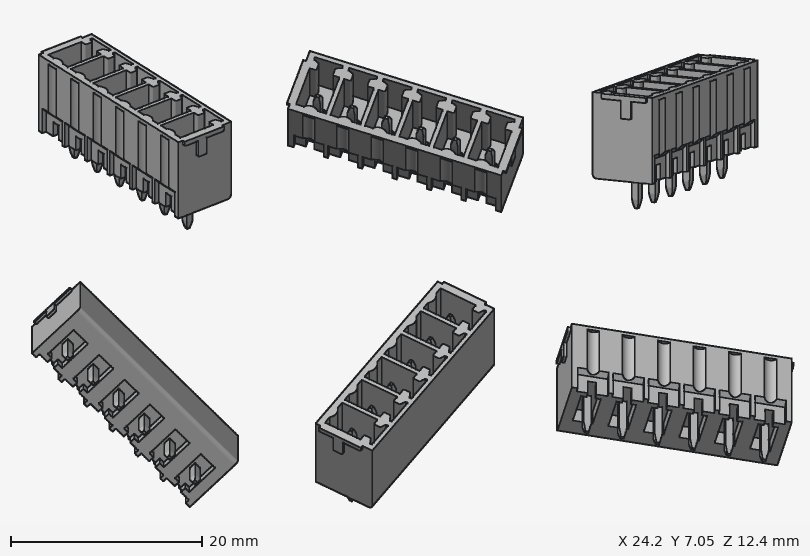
import cadquery as cq
import math


poles = 6
pitch = 3.8
overall_length = 24.25
tab_thickness = 0.32
body_length = overall_length - 2 * tab_thickness
body_depth = 7.05
body_height = 9.2
rear_edge_radius = 0.5
pin_row_y = 3.0

floor_height = 2.42
cavity_width = 3.3
cavity_front_y = 0.78
cavity_shoulder_y = 5.17
neck_width = 1.82
neck_rear_y = 6.0
keyway_width = 3.1
keyway_front_y = 6.28
keyway_rear_y = 6.55
neck_corner_radius = 0.12

groove_width = 1.33
groove_depth = 0.35
groove_top_gap = 0.45
rib_width = 1.55
rib_height = 0.32

recess_width = 3.32
recess_depth = 0.48
recess_front_height = 2.98
recess_back_height = 2.45

pocket_width = 2.13
pocket_front_y = 1.12
pocket_height = 1.7
slot_width = 0.92

collar_base_radius = 1.1
collar_rim_radius = 0.9
collar_cone_height = 0.36
collar_rounding = 0.2

tab_bar_front_y = 0.58
tab_bar_rear_y = 5.85
tab_bar_height = 0.55
tab_stem_front_y = 2.38
tab_stem_rear_y = 3.56
tab_height = 2.47
tab_corner_radius = 0.2

pin_side = 0.8
pin_bottom_z = -3.2
pin_top_z = 7.83
straight_tip_side = 0.36
straight_tip_length = 0.97
bowed_tip_side = 0.3
bowed_tip_length = 1.12
bowed_tip_bulge = 0.05

pole_x = [(i - (poles - 1) / 2) * pitch for i in range(poles)]


def circle_radius(chord, rise):
    """Radius of the circle whose segment has the given chord and rise."""
    return ((chord / 2) ** 2 + rise**2) / (2 * rise)


def block(x_size, y_range, z_range):
    """Box centred on X = 0 between the given Y and Z limits."""
    y_size = y_range[1] - y_range[0]
    z_size = z_range[1] - z_range[0]
    box = cq.Workplane("XY").box(x_size, y_size, z_size, centered=(True, False, False))
    return box.translate((0, y_range[0], z_range[0]))


def make_shell():
    """Plain outer block with its rounded lower rear edge."""
    shell = block(body_length, (0, body_depth), (0, body_height))
    return shell.edges("|X").edges(">Y and <Z").fillet(rear_edge_radius)


def make_end_tab():
    """T-shaped tab standing on the -X end face."""
    bar_z = body_height - tab_bar_height
    stem_z = body_height - tab_height
    bar = block(tab_thickness, (tab_bar_front_y, tab_bar_rear_y), (bar_z, body_height))
    stem = block(tab_thickness, (tab_stem_front_y, tab_stem_rear_y), (stem_z, body_height))
    bar = bar.edges("|X and <Z").fillet(tab_corner_radius)
    stem = stem.edges("|X and <Z").fillet(tab_corner_radius)
    return bar.union(stem).translate((-(body_length + tab_thickness) / 2, 0, 0))


def make_cavity():
    """Plug cavity: wide front room, narrow neck and flared keyway, less the rib and collar."""
    half_room = cavity_width / 2
    half_neck = neck_width / 2
    half_keyway = keyway_width / 2
    right_side = [
        (half_room, cavity_front_y),
        (half_room, cavity_shoulder_y),
        (half_neck, cavity_shoulder_y),
        (half_neck, neck_rear_y),
        (half_keyway, keyway_front_y),
        (half_keyway, keyway_rear_y),
    ]
    left_side = [(-x, y) for x, y in reversed(right_side)]
    cavity_height = body_height - floor_height
    cavity = cq.Workplane("XY").polyline(right_side + left_side).close().extrude(cavity_height)
    neck_edges = cq.selectors.BoxSelector(
        (-half_neck - neck_corner_radius, cavity_shoulder_y - neck_corner_radius, -0.25),
        (half_neck + neck_corner_radius, neck_rear_y + neck_corner_radius, cavity_height + 0.25),
    )
    cavity = cavity.edges("|Z").edges(neck_edges).fillet(neck_corner_radius)
    cavity = cavity.translate((0, 0, floor_height))
    return cavity.cut(make_rib()).cut(make_collar())


def make_rib():
    """Rounded rib on the inner face of the front wall."""
    radius = circle_radius(rib_width, rib_height)
    center_y = cavity_front_y + rib_height - radius
    rib = cq.Workplane("XY").center(0, center_y).circle(radius).extrude(body_height)
    return rib.translate((0, 0, floor_height))


def make_collar():
    """Conical collar with a rounded top rim, standing on the cavity floor."""
    rim_z = floor_height + collar_cone_height
    top_z = rim_z + collar_rounding
    top_radius = collar_rim_radius - collar_rounding
    diagonal = collar_rounding * math.sqrt(0.5)
    return (
        cq.Workplane("XZ")
        .moveTo(0, floor_height)
        .lineTo(collar_base_radius, floor_height)
        .lineTo(collar_rim_radius, rim_z)
        .threePointArc((top_radius + diagonal, rim_z + diagonal), (top_radius, top_z))
        .lineTo(0, top_z)
        .close()
        .revolve(360, (0, 0, 0), (0, 1, 0))
        .translate((0, pin_row_y, 0))
    )


def make_groove():
    """Shallow round groove down the front face, running into the recess."""
    radius = circle_radius(groove_width, groove_depth)
    return (
        cq.Workplane("XY")
        .center(0, groove_depth - radius)
        .circle(radius)
        .extrude(body_height - groove_top_gap)
    )


def make_recess():
    """Recess in the front face, its ceiling sloping down towards the back."""
    side_outline = [
        (0, 0),
        (recess_depth, 0),
        (recess_depth, recess_back_height),
        (0, recess_front_height),
    ]
    return cq.Workplane("YZ").polyline(side_outline).close().extrude(recess_width / 2, both=True)


def make_underside_pocket():
    """Pocket centred on the pin row, with its slot through the front wall."""
    pocket_rear_y = 2 * pin_row_y - pocket_front_y
    pocket = block(pocket_width, (pocket_front_y, pocket_rear_y), (0, pocket_height))
    slot = block(slot_width, (0, pin_row_y), (0, pocket_height))
    return pocket.union(slot)


def make_straight_profile():
    """Pin outline in XZ, with straight tip flanks, extruded past the pin in Y."""
    half = pin_side / 2
    half_tip = straight_tip_side / 2
    lower_z = pin_bottom_z + straight_tip_length
    upper_z = pin_top_z - straight_tip_length
    right_side = [(half_tip, pin_bottom_z), (half, lower_z), (half, upper_z), (half_tip, pin_top_z)]
    left_side = [(-x, z) for x, z in reversed(right_side)]
    return cq.Workplane("XZ").polyline(right_side + left_side).close().extrude(pin_side, both=True)


def make_bowed_profile():
    """Pin outline in YZ, with tip flanks bowed outwards, extruded past the pin in X."""
    half = pin_side / 2
    half_tip = bowed_tip_side / 2
    lower_z = pin_bottom_z + bowed_tip_length
    upper_z = pin_top_z - bowed_tip_length
    bow_y = (half + half_tip) / 2 + bowed_tip_bulge
    lower_bow_z = (pin_bottom_z + lower_z) / 2
    upper_bow_z = (pin_top_z + upper_z) / 2
    return (
        cq.Workplane("YZ")
        .moveTo(half_tip, pin_bottom_z)
        .threePointArc((bow_y, lower_bow_z), (half, lower_z))
        .lineTo(half, upper_z)
        .threePointArc((bow_y, upper_bow_z), (half_tip, pin_top_z))
        .lineTo(-half_tip, pin_top_z)
        .threePointArc((-bow_y, upper_bow_z), (-half, upper_z))
        .lineTo(-half, lower_z)
        .threePointArc((-bow_y, lower_bow_z), (-half_tip, pin_bottom_z))
        .close()
        .extrude(pin_side, both=True)
    )


def make_pin():
    """Square pin with tips that taper straight in X and bow in Y."""
    pin = make_straight_profile().intersect(make_bowed_profile())
    return pin.translate((0, pin_row_y, 0))


def make_housing():
    """Shell with both end tabs, hollowed out and given a pin hole at every pole."""
    tab = make_end_tab()
    housing = make_shell().union(tab).union(tab.mirror("YZ"))
    half_pin = pin_side / 2
    pin_hole = block(pin_side, (pin_row_y - half_pin, pin_row_y + half_pin), (0, body_height))
    cutters = [make_cavity(), make_groove(), make_recess(), make_underside_pocket(), pin_hole]
    for x in pole_x:
        for cutter in cutters:
            housing = housing.cut(cutter.translate((x, 0, 0)))
    return housing


housing = make_housing()
pins = [make_pin().translate((x, 0, 0)) for x in pole_x]

result = cq.Compound.makeCompound([housing.val(), *[pin.val() for pin in pins]])